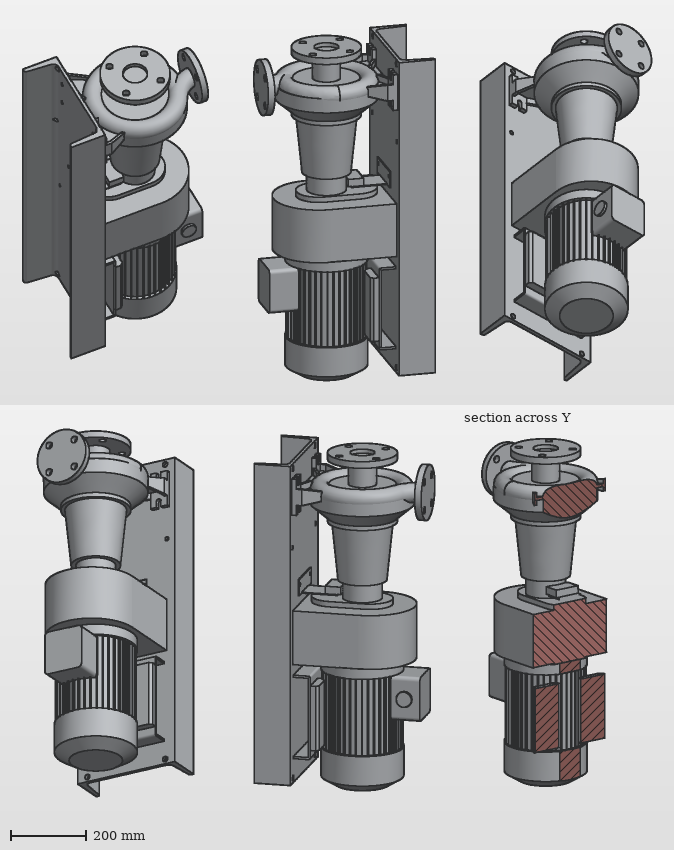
import cadquery as cq
import math


frame_width = 300.0
frame_depth = 100.0
frame_bottom = 24.0
frame_top = 904.0
frame_face_y = -160.0
web_thickness = 10.0
flange_root_x = 131.0
flange_tip_x = 138.0
flange_root_radius = 15.5
flange_tip_radius = 7.0

corner_hole = (120.0, 7.0)
corner_hole_inset = 14.0
side_hole = (125.0, 5.5)
side_hole_z = 674.0
guard_hole = (110.0, 4.0)
guard_hole_z = 417.0

mount_face_y = -113.0
mount_thickness = 5.9
mount_bottom = 90.0
mount_top = 320.0
mount_half_width = 117.0
mount_bend_radius = 6.0

suction_top = 914.0
suction_flange_radius = 93.0
flange_thickness = 18.0
suction_pipe_radius = 37.5
suction_bore_radius = 33.0
suction_bore_depth = 11.0
suction_bolt_circle_radius = 72.0
flange_hole_radius = 9.0
flange_hole_count = 4
flange_hole_start_angle = 45

volute_z = 815.0
volute_center_radius = 113.0
volute_tube_radius = 26.5
volute_end_center_radius = 111.0
volute_end_tube_radius = 24.0
cover_radius = 91.0
cover_top = 827.0

casing_radius = 139.0
casing_bottom = 775.0
collar_top = 736.0
collar_bottom = 724.0
lantern_top_radius = 82.0
lantern_bottom_radius = 66.0
lantern_bottom = 564.0
neck_radius = 53.0

discharge_face_y = 180.0
discharge_flange_radius = 75.0
discharge_bolt_circle_radius = 55.0

pad_thickness = 12.0
pad_height = 100.0
pad_inner_x = 82.0
pad_outer_x = 133.0
pump_hole = (95.0, 5.0)
pump_hole_spacing = 75.0
pad_slot_x = 107.0
pad_slot_width = 14.0
pad_slot_length = 23.0
leg_shoulder_y = -132.5
leg_thickness = 8.0
outer_leg_tip = (106.0, -77.0)
inner_leg_tip = (38.0, -127.0)
foot_web_thickness = 9.0
foot_web_clearance = 3.0
leg_base_width = 45.0
leg_tip_width = 24.0

bearing_foot_half_width = 37.0
bearing_foot_y = (-93.0, -50.0)
bearing_foot_z = (527.0, 548.0)
bracket_wall_half_width = 64.0
bracket_thickness = 3.0
bracket_front_y = -59.0
bracket_top = 569.0
bracket_hole = (55.0, 5.0)
bracket_hole_z = 554.0

guard_bottom = 351.0
guard_top = 499.0
guard_radius = 124.0
guard_center_y = 21.0
cover_plate_radius = 61.0
cover_plate_lower_y = -77.0
upper_plate_thickness = 15.0
lower_plate_thickness = 4.0

motor_radius = 111.0
motor_core_radius = 100.5
fin_tip_radius = 108.0
fin_thickness = 2.3
fin_count = 40
fins_bottom = 105.0
fins_top = 318.0
motor_end_radius = 71.0
fan_cowl_bottom = 24.0
terminal_half_width = 57.0
terminal_face_y = 172.0
terminal_base_y = 87.0
terminal_bottom = 196.5
terminal_corner_radius = 11.0
gland_radius = 21.0
gland_end_x = 64.0
motor_foot_bottom = 115.0
motor_foot_top = 293.0
motor_foot_front_y = -90.5
motor_foot_chamfer = 8.0
motor_foot_inner_x = 37.0
motor_foot_outer_x = 118.0

frame_tip_y = frame_face_y - frame_depth
web_back_y = frame_face_y - web_thickness
flange_bottom = suction_top - flange_thickness
neck_bottom = guard_top + upper_plate_thickness
motor_top = guard_bottom - lower_plate_thickness
pad_top_y = frame_face_y + pad_thickness
bracket_bottom = bearing_foot_z[0] - bracket_thickness
pad_heights = (volute_z - pad_height / 2, volute_z + pad_height / 2)
corner_hole_heights = (frame_bottom + corner_hole_inset, frame_top - corner_hole_inset)
pump_hole_heights = (volute_z - pump_hole_spacing / 2, volute_z + pump_hole_spacing / 2)

bend_radius = (discharge_face_y**2 - volute_center_radius**2) / (2 * volute_center_radius)
bend_start = math.atan2(discharge_face_y, bend_radius)
volute_start = math.pi
volute_end = bend_start


def box(x_range, y_range, z_range):
    """Block between two corners, each range given as (low, high)."""
    size = [high - low for low, high in (x_range, y_range, z_range)]
    corner = (x_range[0], y_range[0], z_range[0])
    return cq.Workplane("XY").box(*size, centered=False).translate(corner)


def cylinder(radius, bottom, top):
    """Upright cylinder on the Z axis."""
    return cq.Workplane("XY").workplane(offset=bottom).circle(radius).extrude(top - bottom)


def web_holes(hole, heights):
    """Pairs of round cutters along Y, mirrored in X, that pass the web and its root fillets."""
    half_spacing, radius = hole
    points = [(side * half_spacing, z) for side in (-1, 1) for z in heights]
    length = 2 * web_thickness + flange_root_radius
    return (
        cq.Workplane("XZ", origin=(0, frame_face_y + web_thickness, 0))
        .pushPoints(points)
        .circle(radius)
        .extrude(length)
    )


def circle_point(radius, angle):
    """Point at volute height on a circle around the Z axis."""
    return (radius * math.cos(angle), radius * math.sin(angle), volute_z)


def make_channel():
    half = frame_width / 2
    outline = [
        (-half, frame_face_y),
        (half, frame_face_y),
        (half, frame_tip_y),
        (flange_tip_x, frame_tip_y),
        (flange_root_x, web_back_y),
        (-flange_root_x, web_back_y),
        (-flange_tip_x, frame_tip_y),
        (-half, frame_tip_y),
    ]
    length = frame_top - frame_bottom
    channel = cq.Workplane("XY").workplane(offset=frame_bottom).polyline(outline).close().extrude(length)
    middle_z = (frame_bottom + frame_top) / 2
    for x, y, radius in (
        (flange_root_x, web_back_y, flange_root_radius),
        (flange_tip_x, frame_tip_y, flange_tip_radius),
    ):
        for side in (-1, 1):
            edge = cq.selectors.NearestToPointSelector((side * x, y, middle_z))
            channel = channel.edges("|Z").edges(edge).fillet(radius)
    channel = channel.cut(web_holes(corner_hole, corner_hole_heights))
    channel = channel.cut(web_holes(side_hole, (side_hole_z,)))
    channel = channel.cut(web_holes(pump_hole, pump_hole_heights))
    channel = channel.cut(web_holes(bracket_hole, (bracket_hole_z,)))
    return channel.cut(web_holes(guard_hole, (guard_hole_z,)))


def make_motor_mount():
    x_range = (-mount_half_width, mount_half_width)
    outer = box(x_range, (frame_face_y, mount_face_y), (mount_bottom, mount_top))
    outer = outer.edges("|X and >Y").fillet(mount_bend_radius)
    inner = box(
        x_range,
        (frame_face_y, mount_face_y - mount_thickness),
        (mount_bottom + mount_thickness, mount_top - mount_thickness),
    )
    return outer.cut(inner)


def make_frame():
    return make_channel().union(make_motor_mount())


def make_pump_body():
    """Turned shape from the suction flange down to the bearing neck."""
    profile = [
        (0, suction_top),
        (suction_flange_radius, suction_top),
        (suction_flange_radius, flange_bottom),
        (suction_pipe_radius, flange_bottom),
        (suction_pipe_radius, cover_top),
        (cover_radius, cover_top),
        (cover_radius, volute_z),
        (casing_radius, volute_z),
        (casing_radius, casing_bottom),
        (suction_flange_radius, collar_top),
        (suction_flange_radius, collar_bottom),
        (lantern_top_radius, collar_bottom),
        (lantern_bottom_radius, lantern_bottom),
        (neck_radius, lantern_bottom),
        (neck_radius, neck_bottom),
        (0, neck_bottom),
    ]
    return cq.Workplane("XZ").polyline(profile).close().revolve(360, (0, 0, 0), (0, 1, 0))


def make_volute():
    """Constant tube around the -Y side, then a tube that narrows around the +Y side."""
    sweep_angle = math.degrees(volute_end - volute_start) + 360
    start = circle_point(volute_center_radius, volute_start)
    constant = (
        cq.Workplane("XZ")
        .center(start[0], volute_z)
        .circle(volute_tube_radius)
        .revolve(sweep_angle, (-start[0], 0, 0), (-start[0], 1, 0))
    )
    stop = circle_point(volute_end_center_radius, volute_end)
    middle_radius = (volute_center_radius + volute_end_center_radius) / 2
    middle = circle_point(middle_radius, (volute_start + volute_end) / 2)
    path = cq.Edge.makeThreePointArc(cq.Vector(*start), cq.Vector(*middle), cq.Vector(*stop))
    sections = [
        cq.Wire.makeCircle(volute_tube_radius, path.startPoint(), path.tangentAt(0)),
        cq.Wire.makeCircle(volute_end_tube_radius, path.endPoint(), path.tangentAt(1)),
    ]
    narrowing = cq.Solid.sweep_multi(sections, path)
    return constant.union(cq.Workplane(narrowing))


def make_discharge():
    bend_angle = math.degrees(bend_start)
    pipe = (
        cq.Workplane("XZ", origin=(0, discharge_face_y, volute_z))
        .circle(volute_tube_radius)
        .revolve(bend_angle, (bend_radius, 0, 0), (bend_radius, 1, 0))
    )
    flange = (
        cq.Workplane("XZ", origin=(0, discharge_face_y, volute_z))
        .circle(discharge_flange_radius)
        .extrude(flange_thickness)
    )
    holes = (
        cq.Workplane("XZ", origin=(0, discharge_face_y, volute_z))
        .polarArray(discharge_bolt_circle_radius, flange_hole_start_angle, 360, flange_hole_count)
        .circle(flange_hole_radius)
        .extrude(flange_thickness)
    )
    return pipe.union(flange.cut(holes))


def make_pad():
    """Base pad of the +X foot, with a bolt slot open at each end."""
    pad = box((pad_inner_x, pad_outer_x), (frame_face_y, pad_top_y), pad_heights)
    slots = (
        cq.Workplane("XZ", origin=(0, pad_top_y, 0))
        .pushPoints([(pad_slot_x, z) for z in pad_heights])
        .slot2D(2 * pad_slot_length, pad_slot_width, 90)
        .extrude(pad_thickness)
    )
    return pad.cut(slots)


def make_legs():
    """Two strips from the +X pad to the casing, narrowing in Z toward their tips."""
    outer_strip = [
        (pad_outer_x, pad_top_y),
        (pad_outer_x, leg_shoulder_y),
        outer_leg_tip,
        (outer_leg_tip[0] - leg_thickness, outer_leg_tip[1]),
        (pad_outer_x - leg_thickness, leg_shoulder_y),
        (pad_outer_x - leg_thickness, pad_top_y),
    ]
    inner_strip = [
        (pad_inner_x, pad_top_y),
        inner_leg_tip,
        (inner_leg_tip[0], inner_leg_tip[1] - leg_thickness),
        (pad_inner_x, pad_top_y - leg_thickness),
    ]
    start = cq.Workplane("XY").workplane(offset=volute_z - leg_base_width / 2)
    outer_leg = start.polyline(outer_strip).close().extrude(leg_base_width)
    inner_leg = start.polyline(inner_strip).close().extrude(leg_base_width)
    base = leg_base_width / 2
    tip = leg_tip_width / 2
    taper = [
        (frame_face_y, -base),
        (leg_shoulder_y, -base),
        (outer_leg_tip[1], -tip),
        (outer_leg_tip[1], tip),
        (leg_shoulder_y, base),
        (frame_face_y, base),
    ]
    envelope = cq.Workplane("YZ", origin=(0, 0, volute_z)).polyline(taper).close().extrude(pad_outer_x)
    return outer_leg.union(inner_leg).intersect(envelope)


def make_foot_web():
    """Thin plate joining the legs of both feet below the casing."""
    strip_x = pad_outer_x - leg_thickness
    lower_y = frame_face_y + foot_web_clearance
    right_side = [
        (pad_inner_x, lower_y),
        (pad_inner_x, pad_top_y),
        (strip_x, pad_top_y),
        (strip_x, leg_shoulder_y),
        (outer_leg_tip[0] - leg_thickness, outer_leg_tip[1]),
    ]
    left_side = [(-x, y) for x, y in reversed(right_side)]
    return (
        cq.Workplane("XY", origin=(0, 0, volute_z - foot_web_thickness / 2))
        .polyline(right_side + left_side)
        .close()
        .extrude(foot_web_thickness)
    )


def make_pump():
    pump = make_pump_body().union(make_volute()).union(make_discharge())
    bolt_holes = (
        cq.Workplane("XY")
        .workplane(offset=flange_bottom)
        .polarArray(suction_bolt_circle_radius, flange_hole_start_angle, 360, flange_hole_count)
        .circle(flange_hole_radius)
        .extrude(flange_thickness)
    )
    pump = pump.cut(bolt_holes)
    pump = pump.cut(cylinder(suction_bore_radius, suction_top - suction_bore_depth, suction_top))
    foot = make_pad().union(make_legs())
    bearing_foot_x = (-bearing_foot_half_width, bearing_foot_half_width)
    bearing_foot = box(bearing_foot_x, bearing_foot_y, bearing_foot_z)
    return pump.union(foot).union(foot.mirror("YZ")).union(make_foot_web()).union(bearing_foot)


def make_bracket():
    """Angle with one leg flat on the frame and the other under the bearing foot."""
    shelf_x = (-bearing_foot_half_width, bearing_foot_half_width)
    wall_x = (-bracket_wall_half_width, bracket_wall_half_width)
    shelf = box(shelf_x, (frame_face_y, bracket_front_y), (bracket_bottom, bearing_foot_z[0]))
    wall = box(wall_x, (frame_face_y, frame_face_y + bracket_thickness), (bracket_bottom, bracket_top))
    return shelf.union(wall).cut(web_holes(bracket_hole, (bracket_hole_z,)))


def make_cover_plate(bottom, thickness):
    half_length = (guard_center_y - cover_plate_lower_y) / 2 + cover_plate_radius
    return (
        cq.Workplane("XY", origin=(0, (guard_center_y + cover_plate_lower_y) / 2, bottom))
        .slot2D(2 * half_length, 2 * cover_plate_radius, 90)
        .extrude(thickness)
    )


def make_guard():
    housing = (
        cq.Workplane("XY", origin=(0, 0, guard_bottom))
        .moveTo(-guard_radius, frame_face_y)
        .lineTo(guard_radius, frame_face_y)
        .lineTo(guard_radius, guard_center_y)
        .threePointArc((0, guard_center_y + guard_radius), (-guard_radius, guard_center_y))
        .close()
        .extrude(guard_top - guard_bottom)
    )
    upper_plate = make_cover_plate(guard_top, upper_plate_thickness)
    lower_plate = make_cover_plate(motor_top, lower_plate_thickness)
    return housing.union(upper_plate).union(lower_plate)


def make_fins():
    """Radial cooling fins, evenly spaced with a gap centred on each axis direction."""
    fins = cylinder(motor_core_radius, fins_bottom, fins_top)
    blank = box((0, fin_tip_radius), (-fin_thickness / 2, fin_thickness / 2), (fins_bottom, fins_top))
    pitch = 360 / fin_count
    for index in range(fin_count):
        fins = fins.union(blank.rotate((0, 0, 0), (0, 0, 1), (index + 0.5) * pitch))
    return fins


def make_terminal_box():
    """Box on the +Y side with a cable gland on its +X wall."""
    shell = box(
        (-terminal_half_width, terminal_half_width),
        (terminal_base_y, terminal_face_y),
        (terminal_bottom, fins_top),
    )
    shell = shell.edges("|Y").fillet(terminal_corner_radius)
    gland_y = (terminal_base_y + terminal_face_y) / 2
    gland_z = (terminal_bottom + fins_top) / 2
    gland = cq.Workplane("YZ", origin=(0, gland_y, gland_z)).circle(gland_radius).extrude(gland_end_x)
    return shell.union(gland)


def make_motor():
    drive_end = cylinder(motor_radius, fins_top, motor_top)
    fan_cowl = cylinder(motor_radius, fan_cowl_bottom, fins_bottom)
    cowl_cone = cq.Workplane(cq.Solid.makeCone(motor_end_radius, motor_radius, fan_cowl_bottom))
    motor = make_fins().union(drive_end).union(fan_cowl).union(cowl_cone).union(make_terminal_box())
    for side in (-1, 1):
        x_range = sorted((side * motor_foot_inner_x, side * motor_foot_outer_x))
        foot = box(x_range, (mount_face_y, motor_foot_front_y), (motor_foot_bottom, motor_foot_top))
        outer_edge = "|Z and >Y and " + (">X" if side > 0 else "<X")
        motor = motor.union(foot.edges(outer_edge).chamfer(motor_foot_chamfer))
    return motor


frame = make_frame()
pump = make_pump()
bracket = make_bracket()
guard = make_guard()
motor = make_motor()

bodies = [frame, pump, bracket, guard, motor]
result = cq.Compound.makeCompound([body.solids().val() for body in bodies])